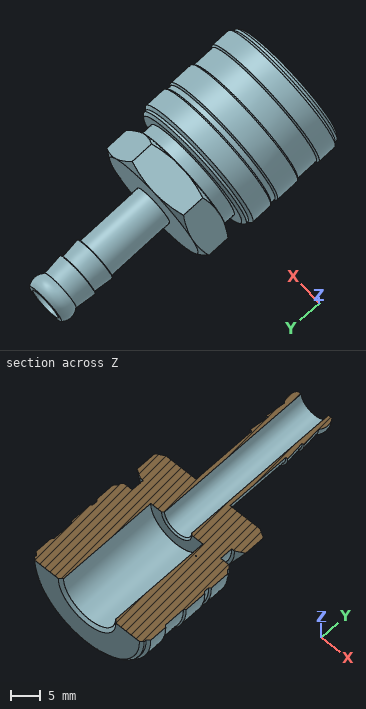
import cadquery as cq
import math


total_length = 56.0
sleeve_length = 22.0
hex_start = 24.6
hex_end = 31.0

sleeve_radius = 13.4
groove_radius = 13.05
rim_radius = 12.8
rim_face_radius = 12.2
rim_chamfer_length = 0.5
rim_length = 1.0
shoulder_length = 0.5
edge_chamfer = 0.3
wide_groove_start = 5.2
wide_groove_end = 10.2
narrow_groove_start = 14.8
narrow_groove_end = 16.4

neck_radius = 10.35
hex_sides = 6
hex_across_flats = 22.0
hex_chamfer_angle = 30.0

tube_radius = 4.0
barb_radius = 4.45
barb_length = 4.0
barb_count = 2
bulb_radius = 4.65
bulb_length = 3.4

socket_radius = 6.05
socket_mouth_radius = 6.7
socket_mouth_chamfer = 0.6
socket_depth = 22.0
passage_radius = 3.15
passage_mouth_radius = 3.5


def revolve_about_y(profile):
    """Close a half profile drawn in (radius, Y) and turn it about the Y axis."""
    return profile.close().revolve(360, (0, 0, 0), (0, 1, 0))


def make_sleeve():
    """Sleeve with stepped, chamfered rims at both ends."""
    back_rim = sleeve_length - rim_length
    return revolve_about_y(
        cq.Workplane("XY")
        .moveTo(0, 0)
        .lineTo(rim_face_radius, 0)
        .lineTo(rim_radius, rim_chamfer_length)
        .lineTo(rim_radius, rim_length)
        .lineTo(sleeve_radius, rim_length + shoulder_length)
        .lineTo(sleeve_radius, back_rim - shoulder_length)
        .lineTo(rim_radius, back_rim)
        .lineTo(rim_radius, sleeve_length - rim_chamfer_length)
        .lineTo(rim_face_radius, sleeve_length)
        .lineTo(0, sleeve_length)
    )


def make_groove(start, end):
    """Ring that cuts a groove with sloping walls into the sleeve."""
    return revolve_about_y(
        cq.Workplane("XY")
        .moveTo(sleeve_radius, start)
        .lineTo(groove_radius, start + edge_chamfer)
        .lineTo(groove_radius, end - edge_chamfer)
        .lineTo(sleeve_radius, end)
    )


def make_cylinder(radius, start, end):
    """Solid cylinder on the Y axis."""
    return cq.Workplane("XZ", origin=(0, start, 0)).circle(radius).extrude(start - end)


def make_hexagon():
    """Hexagon with flats facing +Z and -Z and corners turned off at both ends."""
    flat_radius = hex_across_flats / 2
    corner_radius = flat_radius / math.cos(math.pi / hex_sides)
    corner_drop = (corner_radius - flat_radius) * math.tan(math.radians(hex_chamfer_angle))
    prism = (
        cq.Workplane("XZ", origin=(0, hex_start, 0))
        .polygon(hex_sides, 2 * corner_radius)
        .extrude(hex_start - hex_end)
    )
    envelope = revolve_about_y(
        cq.Workplane("XY")
        .moveTo(0, hex_start)
        .lineTo(flat_radius, hex_start)
        .lineTo(corner_radius, hex_start + corner_drop)
        .lineTo(corner_radius, hex_end - corner_drop)
        .lineTo(flat_radius, hex_end)
        .lineTo(0, hex_end)
    )
    return prism.intersect(envelope)


def make_hose_barb():
    """Tube with sawtooth barbs and a rounded bulb at its tip."""
    bulb_start = total_length - bulb_length
    first_barb_start = bulb_start - barb_count * barb_length
    profile = (
        cq.Workplane("XY")
        .moveTo(0, hex_end)
        .lineTo(tube_radius, hex_end)
        .lineTo(tube_radius, first_barb_start)
    )
    for index in range(barb_count):
        barb_start = first_barb_start + index * barb_length
        profile = profile.lineTo(barb_radius, barb_start).lineTo(tube_radius, barb_start + barb_length)
    return revolve_about_y(
        profile.threePointArc(
            (bulb_radius, bulb_start + bulb_length / 2),
            (tube_radius, total_length),
        ).lineTo(0, total_length)
    )


def make_bore():
    """Chamfered socket narrowing to a through passage."""
    passage_chamfer = passage_mouth_radius - passage_radius
    return revolve_about_y(
        cq.Workplane("XY")
        .moveTo(0, 0)
        .lineTo(socket_mouth_radius, 0)
        .lineTo(socket_radius, socket_mouth_chamfer)
        .lineTo(socket_radius, socket_depth)
        .lineTo(passage_mouth_radius, socket_depth)
        .lineTo(passage_radius, socket_depth + passage_chamfer)
        .lineTo(passage_radius, total_length)
        .lineTo(0, total_length)
    )


sleeve = (
    make_sleeve()
    .cut(make_groove(wide_groove_start, wide_groove_end))
    .cut(make_groove(narrow_groove_start, narrow_groove_end))
)
neck = make_cylinder(neck_radius, sleeve_length, hex_start)

result = sleeve.union(neck).union(make_hexagon()).union(make_hose_barb()).cut(make_bore())